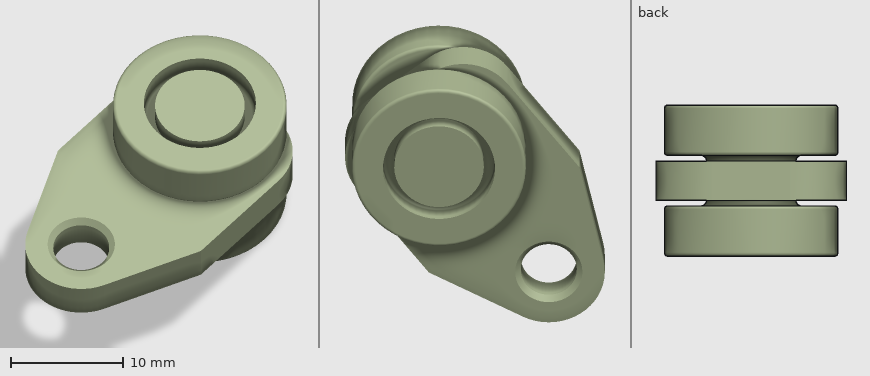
import cadquery as cq
import math

plate_thickness = 3.5
plate_half_width = 8.5
plate_back_y = 6.0
plate_corner_radius = 5.0
taper_start_y = -9.5
eye_y = -16.0
eye_radius = 5.0
eye_hole_diameter = 5.0
eye_hole_chamfer = 0.5

roller_diameter = 15.5
roller_height = 4.5
roller_fillet = 0.3
roller_gap = 0.5
boss_diameter = 8.0
recess_diameter = 10.0
recess_depth = 2.0
recess_fillet = 0.3

pin_head_diameter = 8.0
pin_head_drop = 0.35
pin_shank_diameter = 5.0

plate_top_z = plate_thickness / 2
roller_bottom_z = plate_top_z + roller_gap
roller_top_z = roller_bottom_z + roller_height
recess_floor_z = roller_top_z - recess_depth
pin_top_z = roller_top_z - pin_head_drop


def make_plate():
    corner_x = plate_half_width
    corner_y = taper_start_y - eye_y
    corner_angle = math.atan2(corner_y, corner_x)
    tangent_angle = corner_angle - math.acos(eye_radius / math.hypot(corner_x, corner_y))
    tangent_x = eye_radius * math.cos(tangent_angle)
    tangent_y = eye_y + eye_radius * math.sin(tangent_angle)

    plate = (
        cq.Workplane("XY", origin=(0, 0, -plate_top_z))
        .moveTo(-plate_half_width, plate_back_y)
        .lineTo(plate_half_width, plate_back_y)
        .lineTo(plate_half_width, taper_start_y)
        .lineTo(tangent_x, tangent_y)
        .threePointArc((0, eye_y - eye_radius), (-tangent_x, tangent_y))
        .lineTo(-plate_half_width, taper_start_y)
        .close()
        .extrude(plate_thickness)
    )
    plate = plate.edges("|Z and >Y").fillet(plate_corner_radius)

    plate = (
        plate.faces(">Z")
        .workplane(origin=(0, eye_y, 0))
        .hole(eye_hole_diameter)
        .edges(cq.selectors.RadiusNthSelector(0))
        .chamfer(eye_hole_chamfer)
    )

    return plate.faces(">Z").workplane(origin=(0, 0, 0)).hole(pin_shank_diameter)


def make_upper_roller():
    body = (
        cq.Workplane("XY", origin=(0, 0, roller_bottom_z))
        .circle(roller_diameter / 2)
        .extrude(roller_height)
        .edges("%CIRCLE")
        .fillet(roller_fillet)
    )

    boss_radius = boss_diameter / 2
    flare_radius = boss_radius + roller_gap
    flare_inset = roller_gap * math.sqrt(0.5)
    boss = (
        cq.Workplane("XZ")
        .moveTo(0, plate_top_z)
        .lineTo(boss_radius, plate_top_z)
        .threePointArc(
            (flare_radius - flare_inset, plate_top_z + flare_inset),
            (flare_radius, roller_bottom_z),
        )
        .lineTo(0, roller_bottom_z)
        .close()
        .revolve(360, (0, 0), (0, 1))
    )

    recess = (
        cq.Workplane("XY", origin=(0, 0, recess_floor_z))
        .circle(recess_diameter / 2)
        .extrude(recess_depth)
        .faces("<Z")
        .edges()
        .fillet(recess_fillet)
    )
    bore = cq.Workplane("XY").circle(pin_shank_diameter / 2).extrude(roller_top_z)
    return body.union(boss).cut(recess).cut(bore)


def make_upper_pin():
    shank = cq.Workplane("XY").circle(pin_shank_diameter / 2).extrude(recess_floor_z)
    head = (
        cq.Workplane("XY", origin=(0, 0, recess_floor_z))
        .circle(pin_head_diameter / 2)
        .extrude(pin_top_z - recess_floor_z)
    )
    return shank.union(head)


plate = make_plate()
bodies = [plate.val()]
for make_upper_body in (make_upper_roller, make_upper_pin):
    upper_body = make_upper_body()
    lower_body = upper_body.mirror("XY")
    bodies += [upper_body.val(), lower_body.val()]

result = cq.Compound.makeCompound(bodies)